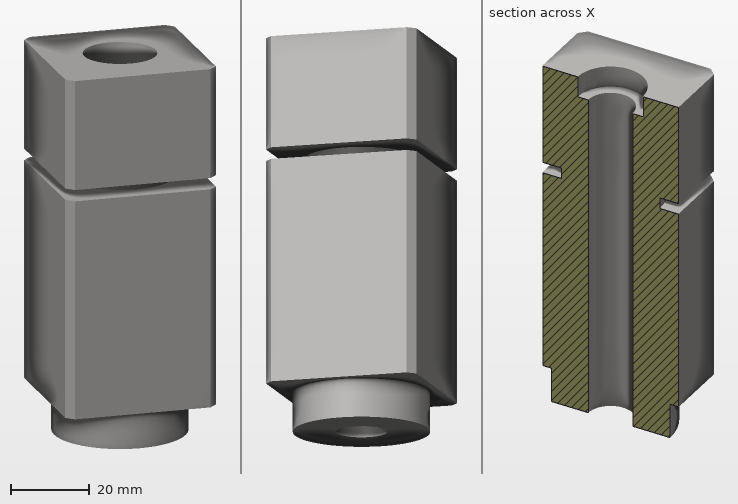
import cadquery as cq

width = 40.0
total_height = 100.0
corner_chamfer = 2.0

base_height = 10.0
base_diameter = 35.0
neck_height = 3.0
neck_diameter = 29.0
head_height = 29.0
body_height = total_height - base_height - neck_height - head_height

bore_diameter = 13.0
counterbore_diameter = 19.0
counterbore_depth = 6.0


def cylinder(diameter, height, bottom):
    return cq.Workplane("XY").workplane(offset=bottom).circle(diameter / 2).extrude(height)


def square_block(height, bottom):
    """Square block with its four upright corners chamfered."""
    block = cq.Workplane("XY").workplane(offset=bottom).rect(width, width).extrude(height)
    return block.edges("|Z").chamfer(corner_chamfer)


body_bottom = base_height
neck_bottom = body_bottom + body_height
head_bottom = neck_bottom + neck_height

base = cylinder(base_diameter, base_height, 0)
body = square_block(body_height, body_bottom)
neck = cylinder(neck_diameter, neck_height, neck_bottom)
head = square_block(head_height, head_bottom)

bore = cylinder(bore_diameter, total_height, 0)
counterbore = cylinder(counterbore_diameter, counterbore_depth, total_height - counterbore_depth)

result = base.union(body).union(neck).union(head).cut(bore).cut(counterbore)